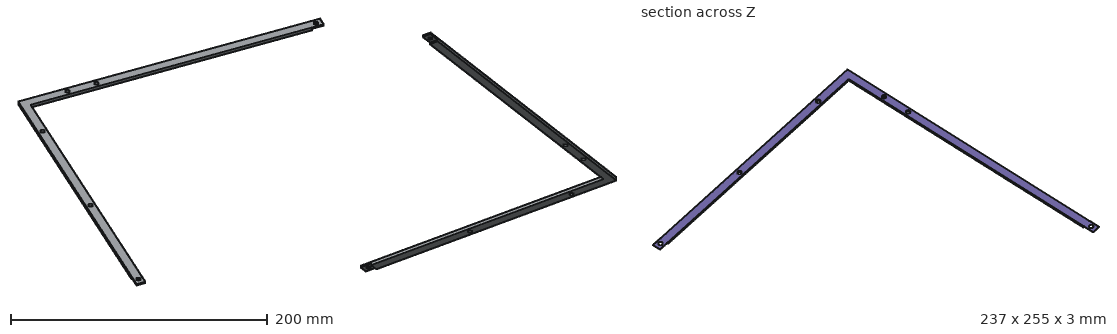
import cadquery as cq

length_x = 237.0
length_y = 255.0
arm_width = 7.5
thickness = 3.0

lap_length = 10.0
lap_depth = thickness / 2

hole_diameter = 3.3
end_hole_inset = 5.0
first_hole = 40.0
second_hole_y = 64.5
centreline = arm_width / 2

end_hole_x = length_x - end_hole_inset
end_hole_y = length_y - end_hole_inset
holes_x = [first_hole, (first_hole + end_hole_x) / 2, end_hole_x]
holes_y = [first_hole, second_hole_y, end_hole_y]


def block(size_x, size_y, height, x=0, y=0):
    """Box with its minimum corner at (x, y, 0)."""
    return cq.Workplane("XY").box(size_x, size_y, height, centered=False).translate((x, y, 0))


arms = block(length_x, arm_width, thickness).union(block(arm_width, length_y, thickness))

lap_x = block(lap_length, arm_width, lap_depth, x=length_x - lap_length)
lap_y = block(arm_width, lap_length, lap_depth, y=length_y - lap_length)
lapped_arms = arms.cut(lap_x).cut(lap_y)

hole_centres = [(x, centreline) for x in holes_x] + [(centreline, y) for y in holes_y]
holes = cq.Workplane("XY").pushPoints(hole_centres).circle(hole_diameter / 2).extrude(thickness)

result = lapped_arms.cut(holes)